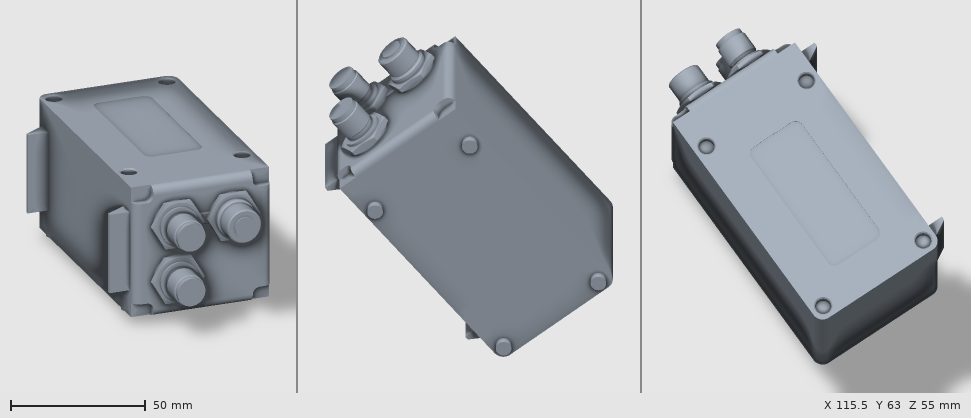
import cadquery as cq
import math

TOTAL_LENGTH = 115.5
BODY_LENGTH = 95.7
CAP_LENGTH = 3.2
WIDTH = 55.0
HEIGHT = 52.0
CORNER_RADIUS = 4.0
CAP_END = BODY_LENGTH + CAP_LENGTH

NOTCH_WIDTH = 7.7
NOTCH_HEIGHT = 5.9
NOTCH_RADIUS = 2.8

SCREW_INSET = 5.0
SCREW_PITCH_X = 76.0
SCREW_PITCH_Y = WIDTH - 2 * SCREW_INSET
HOLE_DIAMETER = 6.0
HOLE_CHAMFER = 0.5
HOLE_DEPTH = 3.0
PIN_DIAMETER = 5.8
PIN_LENGTH = 3.0

LABEL_START = 15.0
LABEL_LENGTH = 55.8
LABEL_WIDTH = 23.0
LABEL_RADIUS = 3.0
LABEL_DEPTH = 0.2

RIB_START = 5.4
RIB_PITCH = 82.8
RIB_BASE = 6.1
RIB_TIP = 1.5
RIB_DEPTH = 8.0
RIB_HEIGHT = 31.4

CONNECTOR_OFFSET_Y = 11.1
CONNECTOR_OFFSET_Z = 11.0
SEAT_DIAMETER = 18.0
SEAT_LENGTH = 1.0
SEAT_CHAMFER = 0.3
WEB_HEIGHT = 4.6
NUT_ACROSS_FLATS = 18.0
NUT_LENGTH = 2.7
NUT_CHAMFER = 0.5
COLLAR_DIAMETER = 15.0
SEAT_END = CAP_END + SEAT_LENGTH
NUT_END = SEAT_END + NUT_LENGTH

PLUG_COLLAR_LENGTH = 1.0
PLUG_NECK_DIAMETER = 11.0
PLUG_BARREL_DIAMETER = 12.0
PLUG_BARREL_START = 105.6
PLUG_BARREL_LENGTH = 7.9
PLUG_BARREL_CHAMFER = 0.3

SOCKET_COLLAR_LENGTH = 2.4
SOCKET_COLLAR_CHAMFER = 0.7
SOCKET_BARREL_DIAMETER = 13.4
SOCKET_BARREL_END = 112.8
SOCKET_BARREL_CHAMFER = 0.5
SOCKET_TIP_DIAMETER = 8.1
SOCKET_TIP_END = 113.4


def rod(diameter, start, end):
    """Cylinder along X about the X axis."""
    return cq.Workplane("YZ", origin=(start, 0, 0)).circle(diameter / 2).extrude(end - start)


def make_housing():
    block = (
        cq.Workplane("XY")
        .box(CAP_END, WIDTH, HEIGHT, centered=(False, True, False))
        .edges("|Z and <X")
        .fillet(CORNER_RADIUS)
        .faces(">X")
        .edges()
        .fillet(CAP_LENGTH)
    )
    notches = (
        cq.Workplane("YZ", origin=(BODY_LENGTH, 0, HEIGHT / 2))
        .rect(WIDTH, HEIGHT, forConstruction=True)
        .vertices()
        .rect(2 * NOTCH_WIDTH, 2 * NOTCH_HEIGHT)
        .extrude(CAP_LENGTH)
        .edges("|X")
        .fillet(NOTCH_RADIUS)
    )
    return block.cut(notches)


def at_screws(z):
    """Workplane at height z with a point on every screw axis."""
    centre_x = SCREW_INSET + SCREW_PITCH_X / 2
    return (
        cq.Workplane("XY", origin=(centre_x, 0, z))
        .rect(SCREW_PITCH_X, SCREW_PITCH_Y, forConstruction=True)
        .vertices()
    )


def make_screw_holes():
    bores = at_screws(HEIGHT).circle(HOLE_DIAMETER / 2).extrude(-HOLE_DEPTH)
    mouths = (
        at_screws(HEIGHT)
        .circle(HOLE_DIAMETER / 2 + HOLE_CHAMFER)
        .extrude(-HOLE_CHAMFER, taper=45)
    )
    return bores.union(mouths)


def make_screw_ends():
    return at_screws(0).circle(PIN_DIAMETER / 2).extrude(-PIN_LENGTH)


def make_label_recess():
    centre_x = LABEL_START + LABEL_LENGTH / 2
    return (
        cq.Workplane("XY", origin=(centre_x, 0, HEIGHT))
        .rect(LABEL_LENGTH, LABEL_WIDTH)
        .extrude(-LABEL_DEPTH)
        .edges("|Z")
        .fillet(LABEL_RADIUS)
    )


def make_rib(start):
    """Wedge with a sloping left flank and a straight right flank."""
    end = start + RIB_BASE
    side = -WIDTH / 2
    outer = side - RIB_DEPTH
    return (
        cq.Workplane("XY", origin=(0, 0, (HEIGHT - RIB_HEIGHT) / 2))
        .polyline([(start, side), (end, side), (end, outer), (end - RIB_TIP, outer)])
        .close()
        .extrude(RIB_HEIGHT)
    )


def make_nut():
    """Hexagon nut with flats facing up and down and both ends chamfered."""
    corner_radius = NUT_ACROSS_FLATS / 2 / math.cos(math.pi / 6)
    hexagon = cq.Workplane("YZ", origin=(SEAT_END, 0, 0)).polygon(6, 2 * corner_radius).extrude(NUT_LENGTH)
    envelope = (
        cq.Workplane("XY")
        .moveTo(SEAT_END, 0)
        .lineTo(SEAT_END, NUT_ACROSS_FLATS / 2)
        .lineTo(SEAT_END + NUT_CHAMFER, corner_radius)
        .lineTo(NUT_END - NUT_CHAMFER, corner_radius)
        .lineTo(NUT_END, NUT_ACROSS_FLATS / 2)
        .lineTo(NUT_END, 0)
        .close()
        .revolve(360, (0, 0, 0), (1, 0, 0))
    )
    return hexagon.intersect(envelope)


def make_mount():
    """Seat and nut that every connector shares, about the X axis."""
    seat = rod(SEAT_DIAMETER, CAP_END, SEAT_END).faces(">X").chamfer(SEAT_CHAMFER)
    return seat.union(make_nut())


def make_plug():
    barrel_end = PLUG_BARREL_START + PLUG_BARREL_LENGTH
    collar = rod(COLLAR_DIAMETER, NUT_END, NUT_END + PLUG_COLLAR_LENGTH)
    core = rod(PLUG_NECK_DIAMETER, NUT_END, TOTAL_LENGTH)
    barrel = (
        rod(PLUG_BARREL_DIAMETER, PLUG_BARREL_START, barrel_end)
        .faces("<X or >X")
        .chamfer(PLUG_BARREL_CHAMFER)
    )
    return make_mount().union(collar).union(core).union(barrel)


def make_socket():
    collar = (
        rod(COLLAR_DIAMETER, NUT_END, NUT_END + SOCKET_COLLAR_LENGTH)
        .faces(">X")
        .chamfer(SOCKET_COLLAR_CHAMFER)
    )
    barrel = (
        rod(SOCKET_BARREL_DIAMETER, NUT_END, SOCKET_BARREL_END)
        .faces(">X")
        .chamfer(SOCKET_BARREL_CHAMFER)
    )
    tip = rod(SOCKET_TIP_DIAMETER, SOCKET_BARREL_END, SOCKET_TIP_END)
    return make_mount().union(collar).union(barrel).union(tip)


def make_seat_web():
    """Thin web with chamfered long edges, joining the seats of the two upper connectors."""
    return (
        cq.Workplane("XY", origin=(CAP_END, 0, HEIGHT / 2 + CONNECTOR_OFFSET_Z))
        .box(SEAT_LENGTH, 2 * CONNECTOR_OFFSET_Y, WEB_HEIGHT, centered=(False, True, True))
        .edges(">X and |Y")
        .chamfer(SEAT_CHAMFER)
    )


upper_z = HEIGHT / 2 + CONNECTOR_OFFSET_Z
lower_z = HEIGHT / 2 - CONNECTOR_OFFSET_Z

result = make_housing().cut(make_screw_holes()).cut(make_label_recess()).union(make_screw_ends())
for rib_start in (RIB_START, RIB_START + RIB_PITCH):
    result = result.union(make_rib(rib_start))
for plug_z in (upper_z, lower_z):
    result = result.union(make_plug().translate((0, -CONNECTOR_OFFSET_Y, plug_z)))
result = result.union(make_socket().translate((0, CONNECTOR_OFFSET_Y, upper_z)))
result = result.union(make_seat_web())